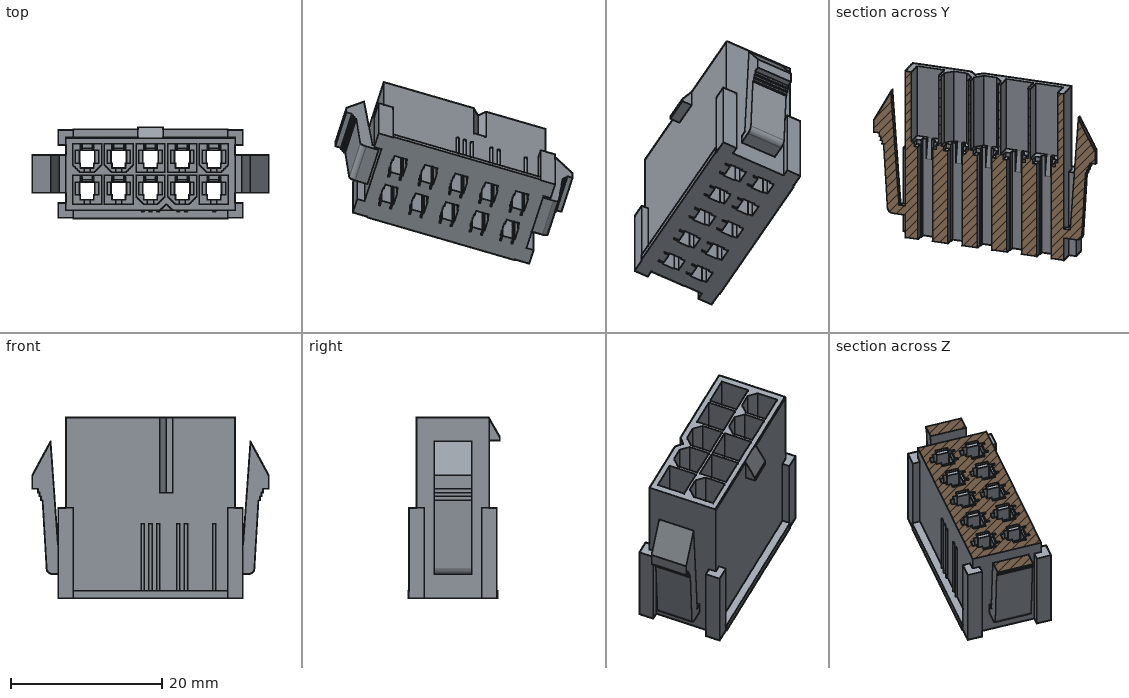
import cadquery as cq

BODY_LENGTH = 22.4
BODY_WIDTH = 9.65
HEIGHT = 23.9

POST_OUTER_X = 12.2
POST_OUTER_Y = 5.82
POST_SIZE = 2.0
POST_HEIGHT = 11.95

FLANGE_OUTER_Y = 5.92
FLANGE_HEIGHT = 1.0
FLANGE_LENGTH = 2 * (POST_OUTER_X - POST_SIZE)

CELL_COLUMNS = 5
CELL_ROWS = 2
CELL_PITCH = 4.2
CELL_SIZE = 3.82
CELL_FLOOR_Z = 13.93
KEY_CHAMFER = 1.0
KEYED_CELLS = [(0, 1), (1, 1), (4, 1), (2, 0), (3, 0)]

BORE_HALF_WIDTH = 1.0
BORE_TOP_Y = 1.0
BORE_BOTTOM_Y = -0.7
THROAT_HALF_WIDTH = 0.88
THROAT_BOTTOM_Y = -1.3
LANCE_HALF_WIDTH = 0.7
LANCE_SLOT_TOP_Y = 1.72
LANCE_STEP_Y = 1.3
RECESS_HALF_WIDTH = 1.53
RECESS_DEPTH = 0.63
RAMP_HALF_WIDTH = 0.4
RAMP_DEPTH = 2.82

GROOVE_HALF_WIDTH = 0.88
GROOVE_DEPTH = 0.8
GROOVE_X = CELL_PITCH / 2
GROOVE_BOTTOM_Z = CELL_FLOOR_Z

RIB_POSITIONS_X = [-1.0, 0, 1.0, 3.7, 4.7, 8.42]
RIB_RADIUS = 0.205
RIB_TOP_Z = 9.83

CATCH_LENGTH = 3.35
CATCH_OUTER_Y = 6.2
CATCH_BOTTOM_Z = 20.85
CATCH_NOSE_Z = 21.35

BEVEL_Y = 0.1
CATCH_SLOPE = (HEIGHT - CATCH_NOSE_Z) / (CATCH_OUTER_Y - BODY_WIDTH / 2 + BEVEL_Y)
BEVEL_Z = BEVEL_Y * CATCH_SLOPE

LATCH_WIDTH = 5.0
LATCH_OUTER_X = 15.65
LATCH_TIP = (13.2, 20.75)
LATCH_NOSE_TOP_Z = 16.25
LATCH_NOSE_BOTTOM_Z = 14.45
LATCH_TOOTH_X = 14.9
LATCH_TOOTH_RUN = 0.205
LATCH_TOOTH_RISE = 0.5
LATCH_TOOTH_COUNT = 3
LATCH_FOOT_X = 13.7
LATCH_FOOT_Z = 3.2
LATCH_FOOT_RADIUS = 0.78
LATCH_ROOT = (12.05, 4.57)


def block(x_min, x_max, y_min, y_max, z_min, z_max):
    """Axis-aligned box between the given limits."""
    size = (x_max - x_min, y_max - y_min, z_max - z_min)
    return cq.Workplane("XY").box(*size, centered=False).translate((x_min, y_min, z_min))


def make_body():
    """Block bevelled along its rear top edge, with four corner posts and two foot flanges."""
    body = (
        cq.Workplane("YZ")
        .polyline([
            (-BODY_WIDTH / 2, 0),
            (BODY_WIDTH / 2, 0),
            (BODY_WIDTH / 2, HEIGHT - BEVEL_Z),
            (BODY_WIDTH / 2 - BEVEL_Y, HEIGHT),
            (-BODY_WIDTH / 2, HEIGHT),
        ])
        .close()
        .extrude(BODY_LENGTH / 2, both=True)
    )
    flange = cq.Workplane("XY").box(
        FLANGE_LENGTH, 2 * FLANGE_OUTER_Y, FLANGE_HEIGHT, centered=(True, True, False)
    )
    post_x = POST_OUTER_X - POST_SIZE / 2
    post_y = POST_OUTER_Y - POST_SIZE / 2
    posts = (
        cq.Workplane("XY")
        .rect(2 * post_x, 2 * post_y, forConstruction=True)
        .vertices()
        .rect(POST_SIZE, POST_SIZE)
        .extrude(POST_HEIGHT)
    )
    return body.union(flange).union(posts)


def make_channel():
    """Contact channel under one cell, centred on the origin in plan."""
    bore = block(-BORE_HALF_WIDTH, BORE_HALF_WIDTH, BORE_BOTTOM_Y, BORE_TOP_Y, 0, CELL_FLOOR_Z)
    throat = block(
        -THROAT_HALF_WIDTH, THROAT_HALF_WIDTH, THROAT_BOTTOM_Y, LANCE_SLOT_TOP_Y, 0, CELL_FLOOR_Z
    )
    lance = block(-LANCE_HALF_WIDTH, LANCE_HALF_WIDTH, BORE_TOP_Y, LANCE_SLOT_TOP_Y, 0, CELL_FLOOR_Z)

    recess_z = CELL_FLOOR_Z - RECESS_DEPTH
    side_recess = block(
        -RECESS_HALF_WIDTH, RECESS_HALF_WIDTH, BORE_BOTTOM_Y, BORE_TOP_Y, recess_z, CELL_FLOOR_Z
    )
    lance_step = block(
        -LANCE_HALF_WIDTH, LANCE_HALF_WIDTH, BORE_TOP_Y, LANCE_STEP_Y, recess_z, CELL_FLOOR_Z
    )
    ramp = (
        cq.Workplane("YZ")
        .polyline([
            (-CELL_SIZE / 2, CELL_FLOOR_Z),
            (THROAT_BOTTOM_Y, CELL_FLOOR_Z),
            (THROAT_BOTTOM_Y, CELL_FLOOR_Z - RAMP_DEPTH),
        ])
        .close()
        .extrude(RAMP_HALF_WIDTH, both=True)
    )
    channel = throat.cut(lance).union(bore)
    return channel.union(side_recess).union(lance_step).union(ramp)


def make_cell(keyed):
    """Square cell, with its two front corners cut off if keyed, above its channel."""
    cell = (
        cq.Workplane("XY")
        .workplane(offset=CELL_FLOOR_Z)
        .rect(CELL_SIZE, CELL_SIZE)
        .extrude(HEIGHT - CELL_FLOOR_Z)
    )
    if keyed:
        cell = cell.edges("|Z and <Y").chamfer(KEY_CHAMFER)
    return cell.union(make_channel())


def cut_cells(body):
    plain_cell = make_cell(keyed=False)
    keyed_cell = make_cell(keyed=True)
    for column in range(CELL_COLUMNS):
        for row in range(CELL_ROWS):
            x = (column - (CELL_COLUMNS - 1) / 2) * CELL_PITCH
            y = (row - (CELL_ROWS - 1) / 2) * CELL_PITCH
            cell = keyed_cell if (column, row) in KEYED_CELLS else plain_cell
            body = body.cut(cell.translate((x, y, 0)))
    return body


def make_groove():
    front_y = -BODY_WIDTH / 2
    return (
        cq.Workplane("XY")
        .workplane(offset=GROOVE_BOTTOM_Z)
        .polyline([
            (GROOVE_X - GROOVE_HALF_WIDTH, front_y),
            (GROOVE_X + GROOVE_HALF_WIDTH, front_y),
            (GROOVE_X, front_y + GROOVE_DEPTH),
        ])
        .close()
        .extrude(HEIGHT - GROOVE_BOTTOM_Z)
    )


def make_ribs():
    rib_centres = [(x, -BODY_WIDTH / 2) for x in RIB_POSITIONS_X]
    return cq.Workplane("XY").pushPoints(rib_centres).circle(RIB_RADIUS).extrude(RIB_TOP_Z)


def make_catch():
    rear_y = BODY_WIDTH / 2
    return (
        cq.Workplane("YZ")
        .polyline([
            (rear_y - BEVEL_Y, HEIGHT),
            (CATCH_OUTER_Y, CATCH_NOSE_Z),
            (CATCH_OUTER_Y, CATCH_BOTTOM_Z),
            (rear_y - BEVEL_Y, CATCH_BOTTOM_Z),
        ])
        .close()
        .extrude(CATCH_LENGTH / 2, both=True)
    )


def make_latch():
    """Latch on the +X end: foot joined to the body, rising arm, toothed nose."""
    end_x = BODY_LENGTH / 2
    outline = [
        (end_x, LATCH_ROOT[1]),
        LATCH_ROOT,
        LATCH_TIP,
        (LATCH_OUTER_X, LATCH_NOSE_TOP_Z),
        (LATCH_OUTER_X, LATCH_NOSE_BOTTOM_Z),
    ]
    for tooth in range(LATCH_TOOTH_COUNT + 1):
        x = LATCH_TOOTH_X - tooth * LATCH_TOOTH_RUN
        z = LATCH_NOSE_BOTTOM_Z - tooth * LATCH_TOOTH_RISE
        outline.append((x, z))
        if tooth < LATCH_TOOTH_COUNT:
            outline.append((x, z - LATCH_TOOTH_RISE))
    outline += [(LATCH_FOOT_X, LATCH_FOOT_Z), (end_x, LATCH_FOOT_Z)]
    latch = cq.Workplane("XZ").polyline(outline).close().extrude(LATCH_WIDTH / 2, both=True)
    foot_edge = cq.selectors.NearestToPointSelector((LATCH_FOOT_X, 0, LATCH_FOOT_Z))
    return latch.edges(foot_edge).fillet(LATCH_FOOT_RADIUS)


body = make_body().union(make_ribs()).union(make_catch())
body = cut_cells(body).cut(make_groove())
latch = make_latch()
result = body.union(latch).union(latch.mirror("YZ"))